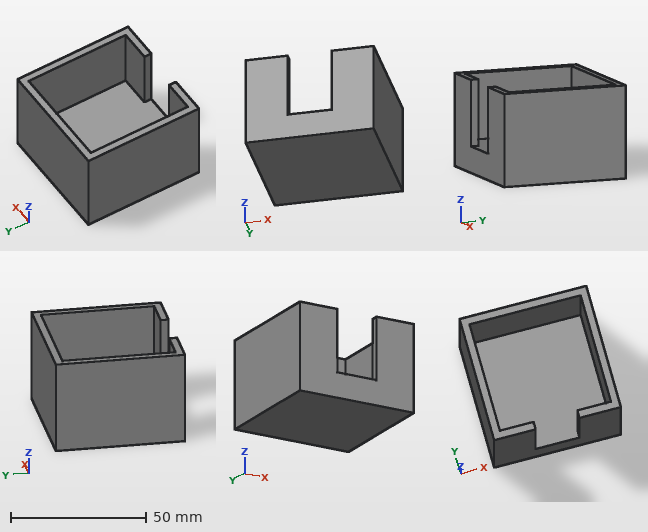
import cadquery as cq

side = 48.6
height = 35.0
wall = 3.0
floor_thickness = 10.0
slot_width = 16.75

cavity_side = side - 2 * wall
cavity_depth = height - floor_thickness

block = cq.Workplane("XY").box(side, side, height, centered=(True, True, False))

cavity = (
    cq.Workplane("XY")
    .workplane(offset=floor_thickness)
    .rect(cavity_side, cavity_side)
    .extrude(cavity_depth)
)

slot = (
    cq.Workplane("XY")
    .workplane(offset=floor_thickness)
    .center(0, -side / 4)
    .rect(slot_width, side / 2)
    .extrude(cavity_depth)
)

result = block.cut(cavity).cut(slot)